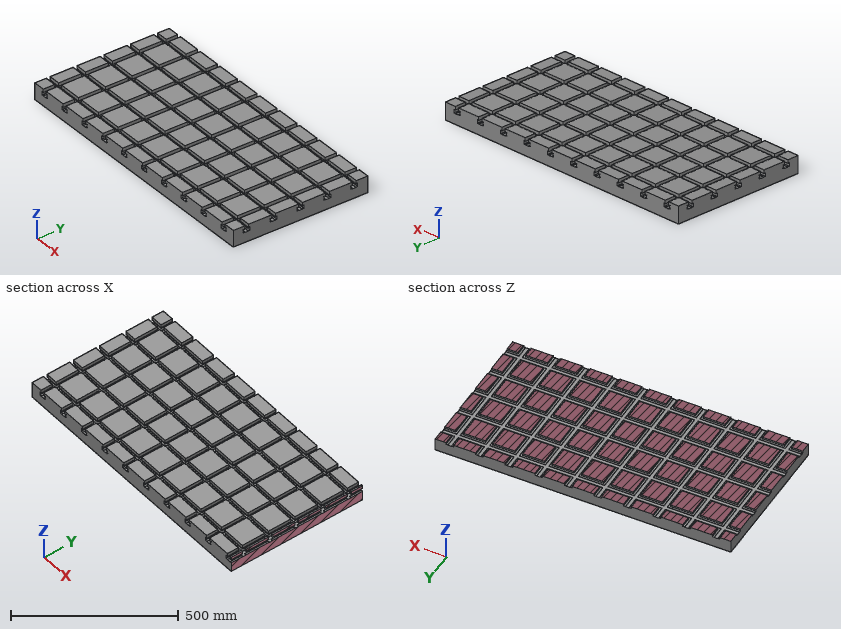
import cadquery as cq

LENGTH = 1000.0
WIDTH = 500.0
THICKNESS = 60.0

SLOT_PITCH = 100.0

NECK_WIDTH = 14.0
NECK_HEIGHT = 12.0
HEAD_WIDTH = 25.0
HEAD_HEIGHT = 11.0
GROOVE_WIDTH = 12.0
GROOVE_HEIGHT = 1.0

HEAD_CEILING = THICKNESS - NECK_HEIGHT
HEAD_FLOOR = HEAD_CEILING - HEAD_HEIGHT
GROOVE_FLOOR = HEAD_FLOOR - GROOVE_HEIGHT


def slot_positions(extent):
    """Slot centres across a side, half a pitch in from each end."""
    count = round(extent / SLOT_PITCH)
    return [(i - (count - 1) / 2) * SLOT_PITCH for i in range(count)]


def t_slots(plane, extent, run):
    """Parallel T-slots spread over the extent, each as long as the run."""
    right_half = [
        (NECK_WIDTH / 2, THICKNESS),
        (NECK_WIDTH / 2, HEAD_CEILING),
        (HEAD_WIDTH / 2, HEAD_CEILING),
        (HEAD_WIDTH / 2, HEAD_FLOOR),
        (GROOVE_WIDTH / 2, HEAD_FLOOR),
        (GROOVE_WIDTH / 2, GROOVE_FLOOR),
    ]
    left_half = [(-across, height) for across, height in reversed(right_half)]
    section = right_half + left_half
    slots = cq.Workplane(plane)
    for centre in slot_positions(extent):
        outline = [(centre + across, height) for across, height in section]
        slots = slots.polyline(outline).close()
    return slots.extrude(run / 2, both=True)


plate = cq.Workplane("XY").box(LENGTH, WIDTH, THICKNESS, centered=(True, True, False))
slots_along_y = t_slots("XZ", LENGTH, WIDTH)
slots_along_x = t_slots("YZ", WIDTH, LENGTH)

result = plate.cut(slots_along_y).cut(slots_along_x)